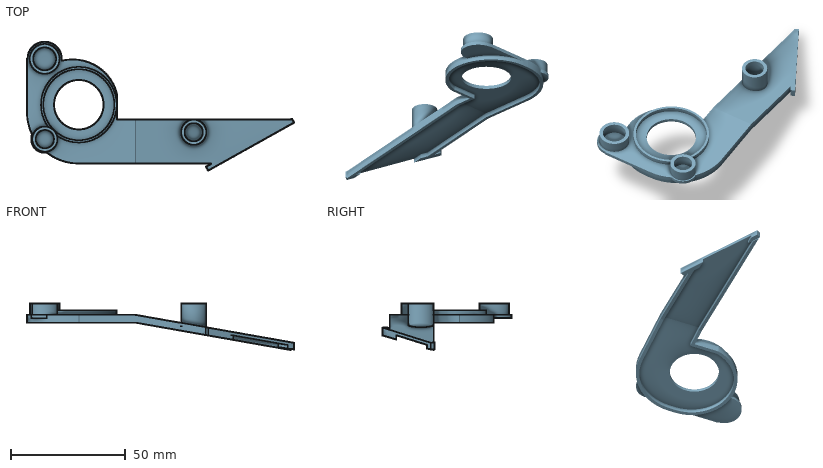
import cadquery as cq
import math


SHEET = 1.5
RIM_HEIGHT = 2.0
PLATE = SHEET + RIM_HEIGHT
WALL = 1.5
BOSS_TOP = 5.0

HUB_LEFT = -22.7
HUB_RIGHT = 16.7
UPPER_RADIUS = 20.0
UPPER_CENTER_X = HUB_LEFT + UPPER_RADIUS
UPPER_CENTER_Y = -0.2
LOWER_CENTER_X = 0.0
LOWER_RADIUS = LOWER_CENTER_X - HUB_LEFT
LOWER_CENTER_Y = -3.0

HOLE_CENTER = (0.0, 0.0)
HOLE_DIAMETER = 21.5
RING_BORE = 31.0
RING_DIAMETER = 33.0
RING_HEIGHT = 2.0

FOLD_X = 24.7
SLOPE = math.tan(math.radians(10.0))
ARM_BACK_Y = -6.4
ARM_FRONT_Y = LOWER_CENTER_Y - LOWER_RADIUS

BAR_ANGLE = math.radians(29.2)
BAR_LENGTH = 43.0
BAR_WIDTH = 2.0
BAR_RIGHT_X = 93.94
BAR_FRONT_Y = -28.78
BAR_TIP_HEIGHT = 3.0
NOTCH_MARGIN = 3.0

BACK_BOSS = ((-14.9, 20.0), 13.0, 10.0, 15.0)
FRONT_BOSS = ((-14.8, -15.0), 11.0, 8.0, 12.0)
ARM_BOSS_CENTER = (50.1, -12.0)
ARM_BOSS_DIAMETER = 11.0
ARM_BOSS_BORE = 8.0


def cylinder(center, diameter, bottom, top):
    return (
        cq.Workplane("XY", origin=(center[0], center[1], bottom))
        .circle(diameter / 2)
        .extrude(top - bottom)
    )


def prism(points, bottom, top):
    return cq.Workplane("XY").workplane(offset=bottom).polyline(points).close().extrude(top - bottom)


def slope_z(x):
    """Height of the arm's top face at x."""
    return -SLOPE * (x - FOLD_X)


def sloped_slab(x_start, x_end, y_front, y_back, above, below, below_end=None):
    """Slab along the arm, from `above` over its top face to `below` under it.

    The depth under the top face runs evenly to `below_end` when that is given.
    """
    if below_end is None:
        below_end = below
    side = [
        (x_start, slope_z(x_start) + above),
        (x_end, slope_z(x_end) + above),
        (x_end, slope_z(x_end) - below_end),
        (x_start, slope_z(x_start) - below),
    ]
    plane = cq.Workplane("XZ", origin=(0, y_back, 0))
    return plane.polyline(side).close().extrude(y_back - y_front)


def hub_outline(inset):
    """Closed outline of hub and flat arm root, moved inward by `inset` except at the fold."""
    upper = UPPER_RADIUS - inset
    lower = LOWER_RADIUS - inset
    diagonal = lower * math.sqrt(0.5)
    lower_middle = (LOWER_CENTER_X - diagonal, LOWER_CENTER_Y - diagonal)
    left = HUB_LEFT + inset
    right = HUB_RIGHT - inset
    upper_end_y = UPPER_CENTER_Y + math.sqrt(upper**2 - (right - UPPER_CENTER_X) ** 2)
    return (
        cq.Workplane("XY")
        .moveTo(left, LOWER_CENTER_Y)
        .lineTo(left, UPPER_CENTER_Y)
        .threePointArc((UPPER_CENTER_X, UPPER_CENTER_Y + upper), (right, upper_end_y))
        .lineTo(right, ARM_BACK_Y - inset)
        .lineTo(FOLD_X, ARM_BACK_Y - inset)
        .lineTo(FOLD_X, ARM_FRONT_Y + inset)
        .lineTo(LOWER_CENTER_X, ARM_FRONT_Y + inset)
        .threePointArc(lower_middle, (left, LOWER_CENTER_Y))
        .close()
    )


def make_hub():
    hub = hub_outline(0).extrude(-PLATE)
    cavity = hub_outline(WALL).extrude(-RIM_HEIGHT).translate((0, 0, -SHEET))
    return hub.cut(cavity)


def make_tab():
    """Thin sheet that joins the back boss to the hub's left edge."""
    boss_x, boss_y = BACK_BOSS[0]
    corners = [
        (HUB_LEFT, UPPER_CENTER_Y),
        (boss_x, UPPER_CENTER_Y),
        (boss_x, boss_y),
        (HUB_LEFT, boss_y),
    ]
    return prism(corners, -SHEET, 0)


def make_ring():
    ring = cylinder(HOLE_CENTER, RING_DIAMETER, 0, RING_HEIGHT)
    return ring.cut(cylinder(HOLE_CENTER, RING_BORE, 0, RING_HEIGHT))


def make_flanged_boss(center, diameter, bore, flange):
    boss = cylinder(center, diameter, 0, BOSS_TOP).cut(cylinder(center, bore, 0, BOSS_TOP))
    return boss.union(cylinder(center, flange, -SHEET, 0))


def bar_corners():
    """Bar corners in plan: right front, right back, left back, left front."""
    along = (math.cos(BAR_ANGLE), math.sin(BAR_ANGLE))
    right_front = (BAR_RIGHT_X, BAR_FRONT_Y + BAR_LENGTH * along[1])
    left_front = (BAR_RIGHT_X - BAR_LENGTH * along[0], BAR_FRONT_Y)
    shift = (-BAR_WIDTH * along[1], BAR_WIDTH * along[0])
    right_back = (right_front[0] + shift[0], right_front[1] + shift[1])
    left_back = (left_front[0] + shift[0], left_front[1] + shift[1])
    return [right_front, right_back, left_back, left_front]


def arm_end_x(y):
    """X of the bar's back face, where the arm ends, at y."""
    left_back = bar_corners()[2]
    return left_back[0] + (y - left_back[1]) / math.tan(BAR_ANGLE)


def arm_section(y_front, y_back, above, below):
    """Sloped slab from the fold to the bar's back face."""
    plan = [
        (FOLD_X, y_front),
        (arm_end_x(y_front), y_front),
        (arm_end_x(y_back), y_back),
        (FOLD_X, y_back),
    ]
    z_low = slope_z(BAR_RIGHT_X) - PLATE
    slab = sloped_slab(FOLD_X, BAR_RIGHT_X, y_front, y_back, above, below)
    return slab.intersect(prism(plan, z_low, 0))


def make_arm():
    arm = arm_section(ARM_FRONT_Y, ARM_BACK_Y, 0, PLATE)
    cavity = arm_section(ARM_FRONT_Y + WALL, ARM_BACK_Y - WALL, -SHEET, PLATE)
    return arm.cut(cavity)


def make_bar():
    """Diagonal bar, slightly shallower at its tip, with a notch under the sheet that opens the cavity."""
    corners = bar_corners()
    x_left = corners[2][0]
    y_back = corners[1][1]
    z_low = slope_z(BAR_RIGHT_X) - PLATE
    slab = sloped_slab(x_left, BAR_RIGHT_X, BAR_FRONT_Y, y_back, 0, PLATE, BAR_TIP_HEIGHT)
    notch = sloped_slab(
        x_left, BAR_RIGHT_X, ARM_FRONT_Y + NOTCH_MARGIN, ARM_BACK_Y - NOTCH_MARGIN, -SHEET, PLATE
    )
    return slab.intersect(prism(corners, z_low, 0)).cut(notch)


def make_arm_boss():
    """Upright boss that starts inside the arm's sheet, with its bore ending on the arm's top face."""
    center_x, center_y = ARM_BOSS_CENTER
    radius = ARM_BOSS_DIAMETER / 2
    z_low = slope_z(center_x + radius) - SHEET
    above_all = BOSS_TOP - z_low
    boss = cylinder(ARM_BOSS_CENTER, ARM_BOSS_DIAMETER, z_low, BOSS_TOP)
    boss = boss.cut(cylinder(ARM_BOSS_CENTER, ARM_BOSS_BORE, z_low, BOSS_TOP))
    over_arm = sloped_slab(
        center_x - radius, center_x + radius, center_y - radius, center_y + radius, above_all, SHEET / 2
    )
    return boss.intersect(over_arm)


body = make_hub().union(make_tab()).union(make_arm()).union(make_bar())
body = body.union(make_ring()).union(make_arm_boss())
for boss in (BACK_BOSS, FRONT_BOSS):
    body = body.union(make_flanged_boss(*boss))
result = body.cut(cylinder(HOLE_CENTER, HOLE_DIAMETER, -PLATE, 0))